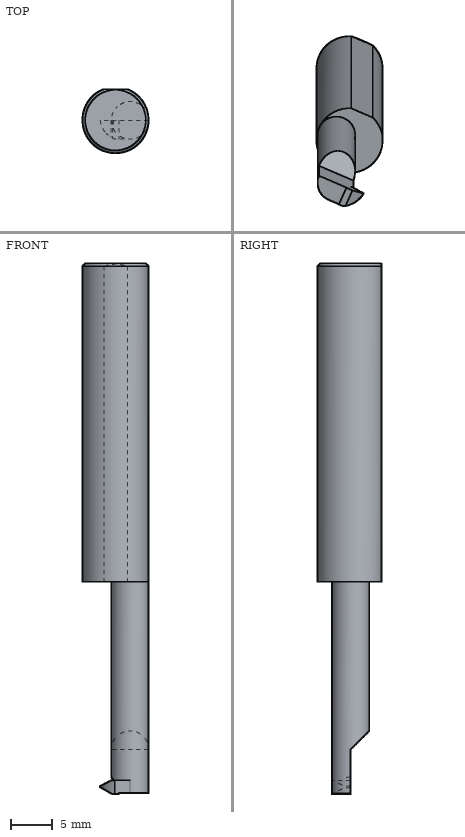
import cadquery as cq
import math

overall_length = 63.5
shank_length = 38.1
shank_radius = 7.94 / 2
flat_y = 7.68 - shank_radius
shank_chamfer = 0.35

neck_radius = 2.25
neck_x = shank_radius - neck_radius
neck_bottom_z = 0.12
neck_top_z = overall_length - shank_length

relief_start_z = 5.35
relief_angle = 45

tip_x = -1.86
tip_z = 0.91
tip_flat = 0.12
upper_flank_angle = 27.5
lower_flank_angle = 30
tip_top_z = 1.65
tip_bottom_x = 0.4
clearance_end_x = -0.08
clearance_bulge = 0.4
tip_back_y = -neck_radius

undercut_top_z = 2.12
undercut_depth = 0.25


def make_shank():
    shank = cq.Workplane("XY").workplane(offset=neck_top_z).circle(shank_radius).extrude(shank_length)
    shank = shank.faces(">Z").chamfer(shank_chamfer)
    flat_depth = shank_radius - flat_y
    flat_cutter = cq.Workplane("XY").box(
        2 * shank_radius, flat_depth, shank_length, centered=(True, False, False)
    )
    return shank.cut(flat_cutter.translate((0, flat_y, neck_top_z)))


def make_neck():
    neck_length = neck_top_z - neck_bottom_z
    neck = (
        cq.Workplane("XY")
        .workplane(offset=neck_bottom_z)
        .center(neck_x, 0)
        .circle(neck_radius)
        .extrude(neck_length)
    )
    cut_depth = 2 * neck_radius
    slope_top_z = relief_start_z + cut_depth * math.tan(math.radians(relief_angle))
    relief_cutter = (
        cq.Workplane("YZ")
        .polyline([(0, 0), (cut_depth, 0), (cut_depth, slope_top_z), (0, relief_start_z)])
        .close()
        .extrude(2 * shank_radius, both=True)
    )
    return neck.cut(relief_cutter)


def make_tip():
    upper_slope = math.tan(math.radians(upper_flank_angle))
    lower_slope = math.tan(math.radians(lower_flank_angle))
    flat_top_z = tip_z + tip_flat / 2
    flat_bottom_z = tip_z - tip_flat / 2
    lower_corner_x = tip_x + flat_bottom_z / lower_slope
    upper_corner_x = tip_x + (tip_top_z - flat_top_z) / upper_slope
    profile = (
        cq.Workplane("XZ")
        .moveTo(tip_x, flat_bottom_z)
        .lineTo(lower_corner_x, 0)
        .lineTo(tip_bottom_x, 0)
        .lineTo(tip_bottom_x, neck_bottom_z)
        .lineTo(neck_x, neck_bottom_z)
        .lineTo(neck_x, tip_top_z)
        .lineTo(upper_corner_x, tip_top_z)
        .lineTo(tip_x, flat_top_z)
        .close()
        .extrude(-tip_back_y)
    )
    plan = (
        cq.Workplane("XY")
        .moveTo(tip_x, 0)
        .sagittaArc((clearance_end_x, tip_back_y), -clearance_bulge)
        .lineTo(neck_x, tip_back_y)
        .lineTo(neck_x, 0)
        .close()
        .extrude(tip_top_z)
    )
    return profile.intersect(plan)


def make_undercut():
    neck_left_x = neck_x - neck_radius
    inner_x = neck_left_x + undercut_depth
    profile = [(neck_left_x, undercut_top_z), (inner_x, tip_top_z), (neck_left_x, tip_top_z)]
    return cq.Workplane("XZ").polyline(profile).close().extrude(-tip_back_y)


neck = make_neck().cut(make_undercut())
result = make_shank().union(neck).union(make_tip())